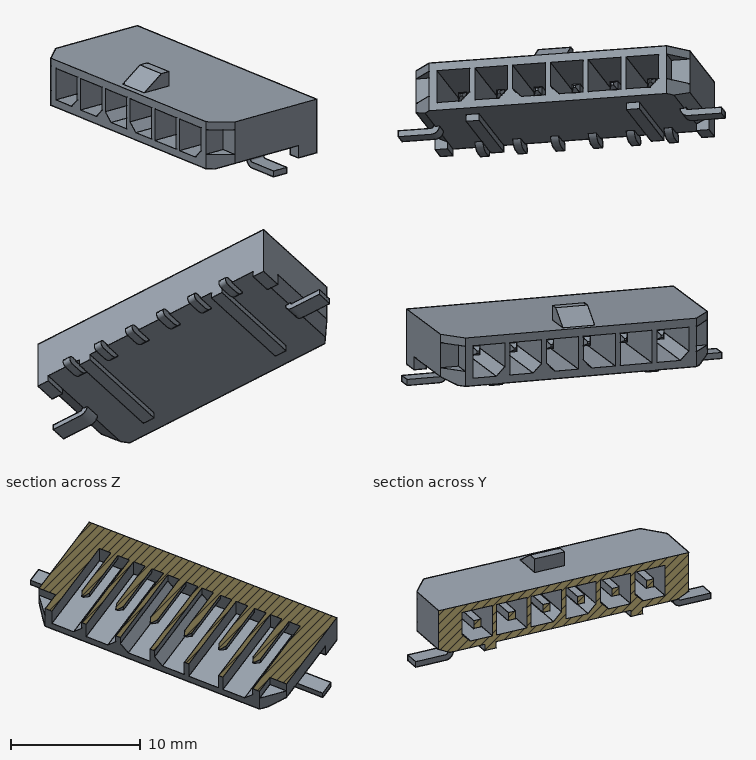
import cadquery as cq


body_width = 21.75
body_depth = 9.87
body_bottom = 0.62
body_top = 4.49
body_height = body_top - body_bottom
half_width = body_width / 2

corner_x = 1.45
corner_y = 1.7
corner_pocket_bottom = 1.82

slope_width = 1.0
slope_height = 0.49
foot_depth = 1.85
foot_bottom = 0.08

rail_width = 1.03
rail_center_x = 6.35
rail_front_y = 1.62

cavity_keys = [1, 1, -1, -1, 0, 1]
pitch = 3.0
cavity_size = 2.6
cavity_bottom = 1.23
cavity_top = cavity_bottom + cavity_size
cavity_depth = 7.7
cavity_bevel = 0.7

pin_width = 0.65
wire_height = 0.72
pin_center_z = 2.56
pin_bottom = pin_center_z - wire_height / 2
pin_top = pin_center_z + wire_height / 2
pin_tip_y = 2.56
pin_tip_length = 0.5
pin_tip_size = 0.18
tail_length = 0.82
tail_end_y = body_depth + tail_length
tail_end_radius = wire_height / 2
tail_bend_inner = 0.3
tail_bend_outer = tail_bend_inner + wire_height
tail_bend_y = 9.4

latch_width = 2.6
latch_front_y = 0.5
latch_crest_y = 2.23
latch_rear_y = 2.97
latch_top = 5.67

tab_span = 25.65
tab_front_y = 3.95
tab_width = 1.33
tab_thickness = 0.49
tab_bend_inner = 0.18
tab_bend_outer = tab_bend_inner + tab_thickness
tab_bend_x = 10.2
tab_leg_top = 1.55


def box(x_min, x_max, y_min, y_max, z_min, z_max):
    """Box between two opposite corners."""
    size = (x_max - x_min, y_max - y_min, z_max - z_min)
    return cq.Workplane("XY").box(*size, centered=False).translate((x_min, y_min, z_min))


def both_ends(shape):
    """The shape together with its mirror image at the other end of the row."""
    return shape.union(shape.mirror("YZ"))


def make_housing():
    outline = [
        (-half_width, body_depth),
        (-half_width, corner_y),
        (-half_width + corner_x, 0),
        (half_width - corner_x, 0),
        (half_width, corner_y),
        (half_width, body_depth),
    ]
    return cq.Workplane("XY").workplane(offset=body_bottom).polyline(outline).close().extrude(body_height)


def make_corner_pocket():
    return box(half_width - corner_x, half_width, 0, corner_y, corner_pocket_bottom, cavity_top)


def make_end_slope():
    """Wedge removed from the lower edge of the end wall."""
    corners = [
        (half_width - slope_width, body_bottom),
        (half_width, body_bottom),
        (half_width, body_bottom + slope_height),
    ]
    length = body_depth - foot_depth
    return cq.Workplane("XZ").polyline(corners).close().extrude(-length)


def make_foot():
    inner_x = half_width - slope_width
    front_y = body_depth - foot_depth
    return box(inner_x, half_width, front_y, body_depth, foot_bottom, body_bottom)


def make_rail():
    left = rail_center_x - rail_width / 2
    return box(left, left + rail_width, rail_front_y, body_depth, foot_bottom, body_bottom)


def make_latch():
    profile = [
        (latch_front_y, body_top),
        (latch_crest_y, latch_top),
        (latch_rear_y, latch_top),
        (latch_rear_y, body_top),
    ]
    return cq.Workplane("YZ").polyline(profile).close().extrude(latch_width / 2, both=True)


def make_cavity(key):
    """Contact cavity centred on X = 0."""
    cavity = box(-cavity_size / 2, cavity_size / 2, 0, cavity_depth, cavity_bottom, cavity_top)
    if key:
        side = ">X" if key > 0 else "<X"
        cavity = cavity.faces(side).edges("<Z").chamfer(cavity_bevel)
    return cavity


def make_contact():
    """Bent wire with a pyramid-tipped pin at the front and a rounded solder tail at the rear."""
    shaft_front = pin_tip_y + pin_tip_length
    leg_front = tail_bend_y - tail_bend_outer
    leg_rear = tail_bend_y - tail_bend_inner
    round_y = tail_end_y - tail_end_radius
    wire = (
        cq.Workplane("YZ")
        .moveTo(round_y, 0)
        .lineTo(tail_bend_y, 0)
        .radiusArc((leg_front, tail_bend_outer), tail_bend_outer)
        .lineTo(leg_front, pin_bottom)
        .lineTo(shaft_front, pin_bottom)
        .lineTo(shaft_front, pin_top)
        .lineTo(leg_rear, pin_top)
        .lineTo(leg_rear, tail_bend_outer)
        .radiusArc((tail_bend_y, wire_height), -tail_bend_inner)
        .lineTo(round_y, wire_height)
        .threePointArc((tail_end_y, tail_end_radius), (round_y, 0))
        .close()
        .extrude(pin_width / 2, both=True)
    )
    tip = (
        cq.Workplane("XZ", origin=(0, shaft_front, pin_center_z))
        .rect(pin_width, wire_height)
        .workplane(offset=pin_tip_length)
        .rect(pin_tip_size, pin_tip_size)
        .loft()
    )
    return wire.union(tip)


def make_tab():
    """Bent strip: a leg inside the housing turning outward onto the board."""
    bend = cq.Workplane("XZ", origin=(0, tab_front_y, 0))
    leg_inner_x = tab_bend_x - tab_bend_outer
    leg_outer_x = tab_bend_x - tab_bend_inner
    return (
        bend.moveTo(tab_span / 2, 0)
        .lineTo(tab_bend_x, 0)
        .radiusArc((leg_inner_x, tab_bend_outer), tab_bend_outer)
        .lineTo(leg_inner_x, tab_leg_top)
        .lineTo(leg_outer_x, tab_leg_top)
        .lineTo(leg_outer_x, tab_bend_outer)
        .radiusArc((tab_bend_x, tab_thickness), -tab_bend_inner)
        .lineTo(tab_span / 2, tab_thickness)
        .close()
        .extrude(-tab_width)
    )


result = make_housing()
result = result.cut(both_ends(make_corner_pocket()))
result = result.cut(both_ends(make_end_slope()))
result = result.union(both_ends(make_foot()))
result = result.union(both_ends(make_rail()))
result = result.union(make_latch())

row_start = -pitch * (len(cavity_keys) - 1) / 2
for index, key in enumerate(cavity_keys):
    place = (row_start + index * pitch, 0, 0)
    result = result.cut(make_cavity(key).translate(place))
    result = result.union(make_contact().translate(place))

result = result.union(both_ends(make_tab()))